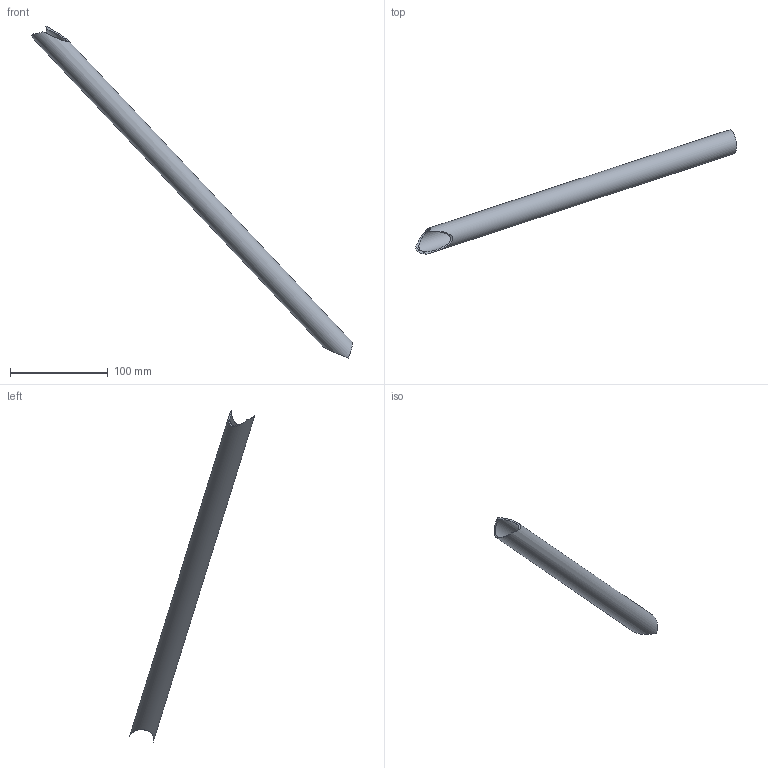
import cadquery as cq
TUBE_DIAMETER = 24.87
WALL = 1.5
LOWER_JOINT = cq.Vector(0, 0, 0)
UPPER_JOINT = cq.Vector(-317.674, -104.838, 337.495)

LOWER_RAIL = cq.Vector(1, 0.0414, 0.1171)
UPPER_RAIL = cq.Vector(1, 0.0429, -0.1558)
UPPER_BRACE = cq.Vector(0.2006, -1, 0.5477)
MATE_LENGTH = 200.0


def cylinder(start, direction, length, diameter):
    return cq.Workplane(cq.Solid.makeCylinder(diameter / 2, length, start, direction))


def mating_tube(joint, direction):
    """Solid envelope of a neighbouring tube, centred on the joint."""
    start = joint - direction.normalized() * (MATE_LENGTH / 2)
    return cylinder(start, direction, MATE_LENGTH, TUBE_DIAMETER)


def straight_tube():
    """Uncut tube from joint to joint."""
    axis = UPPER_JOINT - LOWER_JOINT
    outside = cylinder(LOWER_JOINT, axis, axis.Length, TUBE_DIAMETER)
    bore = cylinder(LOWER_JOINT, axis, axis.Length, TUBE_DIAMETER - 2 * WALL)
    return outside.cut(bore)


result = (
    straight_tube()
    .cut(mating_tube(LOWER_JOINT, LOWER_RAIL))
    .cut(mating_tube(UPPER_JOINT, UPPER_RAIL))
    .cut(mating_tube(UPPER_JOINT, UPPER_BRACE))
)